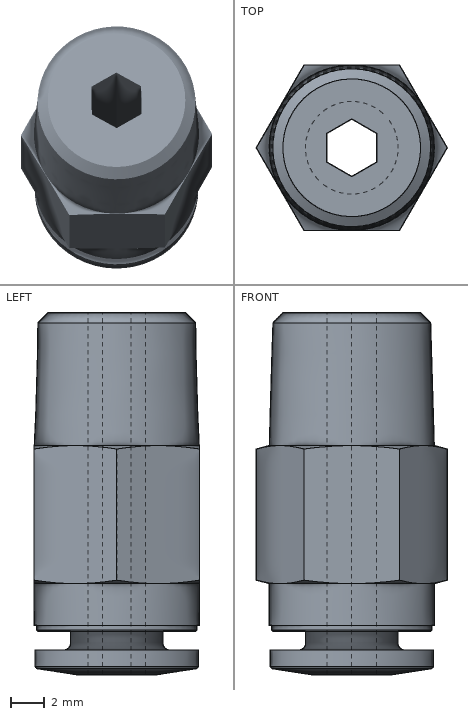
import cadquery as cq
import math

total_height = 21.9

hex_flats = 10.0
hex_corners = hex_flats / math.cos(math.radians(30))
hex_bottom = 5.52
hex_top = 13.86
corner_bevel_angle = 15.0

taper_base_diameter = 9.99
taper_tip_diameter = 9.55
tip_diameter = 8.32
tip_chamfer_height = 0.61

collar_diameter = hex_flats
collar_bottom = 3.0
lip_diameter = 9.7
lip_bottom = 2.63
lip_chamfer = 0.09

neck_diameter = 5.6
flange_diameter = 9.9
flange_top = 1.51
flange_rim_bottom = 0.5
flange_edge = 0.13
flare_radius = 0.4
button_face_diameter = 4.77

socket_flats = 3.0
socket_corners = socket_flats / math.cos(math.radians(30))


def make_turned_body():
    """Revolve the round sections about Z."""
    neck_radius = neck_diameter / 2
    lip_radius = lip_diameter / 2
    flange_radius = flange_diameter / 2
    arc_offset = flare_radius * (1 - math.sqrt(0.5))
    return (
        cq.Workplane("XZ")
        .moveTo(0, 0)
        .lineTo(button_face_diameter / 2, 0)
        .lineTo(flange_radius - flange_edge, flange_rim_bottom - flange_edge)
        .lineTo(flange_radius, flange_rim_bottom)
        .lineTo(flange_radius, flange_top)
        .lineTo(neck_radius + flare_radius, flange_top)
        .threePointArc(
            (neck_radius + arc_offset, flange_top + arc_offset),
            (neck_radius, flange_top + flare_radius),
        )
        .lineTo(neck_radius, lip_bottom)
        .lineTo(lip_radius - lip_chamfer, lip_bottom)
        .lineTo(lip_radius, lip_bottom + lip_chamfer)
        .lineTo(lip_radius, collar_bottom)
        .lineTo(collar_diameter / 2, collar_bottom)
        .lineTo(collar_diameter / 2, hex_bottom)
        .lineTo(taper_base_diameter / 2, hex_top)
        .lineTo(taper_tip_diameter / 2, total_height - tip_chamfer_height)
        .lineTo(tip_diameter / 2, total_height)
        .lineTo(0, total_height)
        .close()
        .revolve(360, (0, 0, 0), (0, 1, 0))
    )


def make_wrench_hexagon():
    """Hexagon with corners on X, its corners bevelled conically at both ends."""
    hexagon = (
        cq.Workplane("XY")
        .workplane(offset=hex_bottom)
        .polygon(6, hex_corners)
        .extrude(hex_top - hex_bottom)
    )
    flat_radius = hex_flats / 2
    corner_radius = hex_corners / 2
    bevel_drop = (corner_radius - flat_radius) * math.tan(math.radians(corner_bevel_angle))
    bevel_envelope = (
        cq.Workplane("XZ")
        .moveTo(0, hex_bottom)
        .lineTo(flat_radius, hex_bottom)
        .lineTo(corner_radius, hex_bottom + bevel_drop)
        .lineTo(corner_radius, hex_top - bevel_drop)
        .lineTo(flat_radius, hex_top)
        .lineTo(0, hex_top)
        .close()
        .revolve(360, (0, 0, 0), (0, 1, 0))
    )
    return hexagon.intersect(bevel_envelope)


def make_socket():
    """Through hexagon with corners on Y."""
    return (
        cq.Workplane("XY")
        .polygon(6, socket_corners)
        .extrude(total_height)
        .rotate((0, 0, 0), (0, 0, 1), 30)
    )


result = make_turned_body().union(make_wrench_hexagon()).cut(make_socket())